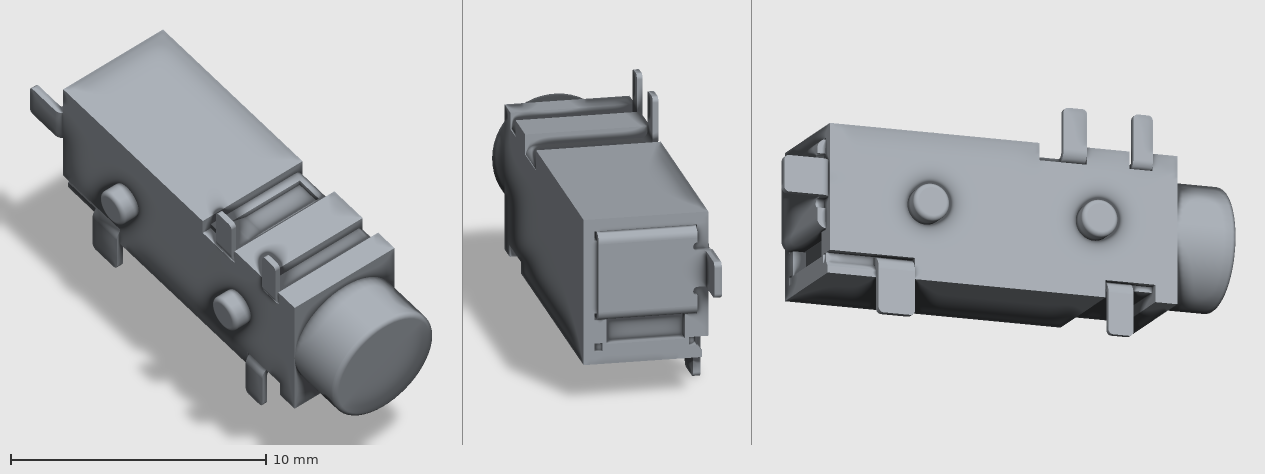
import cadquery as cq
import math

HOUSING_LENGTH = 14.55
HOUSING_DEPTH = 5.0
HOUSING_HEIGHT = 6.0
HALF_HEIGHT = HOUSING_HEIGHT / 2

BARREL_DIAMETER = 5.0
BARREL_LENGTH = 2.5
BARREL_EDGE_RADIUS = 0.2

PEG_DIAMETER = 1.5
PEG_LENGTH = 0.8
PEG_EDGE_RADIUS = 0.18
PEG_X = (4.0, 11.05)

THICK_SHEET = 0.3
THIN_SHEET = 0.23
TAB_FRONT_Y = -0.12
TAB_TIP_Z = 4.5
REAR_TOP_TAB_X = (9.74, 10.73)
FRONT_TOP_TAB_X = (12.66, 13.48)
REAR_BOTTOM_TAB_X = (2.0, 3.52)
FRONT_BOTTOM_TAB_X = (11.62, 12.67)
TIGHT_BEND_RADIUS = 0.35
MEDIUM_BEND_RADIUS = 0.5
WIDE_BEND_RADIUS = 0.55
TAB_CORNER_RADIUS = 0.2
ROOT_FLARE_RADIUS = 0.12

SLOT_FLOOR_Z = 2.53
SLOT_STEP_Z = SLOT_FLOOR_Z - THIN_SHEET
SLOT_STEP_DEPTH = 0.4
WIDE_SLOT_X = (8.77, 10.77)
WIDE_SLOT_REAR_RADIUS = 0.37
WIDE_SLOT_REAR_GAP = 0.03
NARROW_SLOT_X = (12.55, 13.52)
NARROW_SLOT_REAR_RADIUS = 0.21
NARROW_SLOT_REAR_GAP = 0.07
BOTTOM_SLOT_X = (11.55, 13.63)

WINDOW_X = (9.17, 10.37)
WINDOW_RAMP_START_Y = 1.09
WINDOW_RAMP_END_Y = 1.84
WINDOW_BACK_Y = 4.54
WINDOW_DEPTH = 0.25

NOTCH_LENGTH = 3.57
NOTCH_TOP_Z = -2.14
NOTCH_BOTTOM_Z = -2.49
NOTCH_DEPTH = 0.45
NOTCH_STRIP_Z = 2.17
LIP_Y = 0.25
LIP_TOP_Z = -2.72

RECESS_DEPTH = 0.53
RECESS_Y = (0.45, 4.56)
UPPER_GAP_Z = (2.1, 2.49)
LOWER_GAP_Z = (-1.2, -0.9)
REAR_WINDOW_Y = (0.93, 4.08)
REAR_WINDOW_Z = (-2.19, -1.17)
CLIP_CORNER_Y = (0.78, 4.24)
CLIP_CORNER_RADIUS = 0.32

PLATE_Y = (0.5, 4.47)
PLATE_Z = (-1.15, 2.46)
PLATE_BULGE = 0.34
PLATE_EDGE_RADIUS = 0.4
RELIEF_RADIUS = 0.18
REAR_TAB_Z = (0.03, 1.51)
REAR_TAB_TIP_X = -1.95
REAR_TAB_OUTER_RADIUS = 0.35
REAR_TAB_INNER_RADIUS = 0.1

EMBED = 0.2


def box(x_range, y_range, z_range):
    """Box spanning the three given ranges."""
    size = [high - low for low, high in (x_range, y_range, z_range)]
    corner = (x_range[0], y_range[0], z_range[0])
    return cq.Workplane("XY").box(*size, centered=False).translate(corner)


def side_sketch(x_start):
    """Sketch plane normal to X, with local axes along Y and Z."""
    return cq.Workplane("YZ", origin=(x_start, 0, 0))


def make_barrel():
    axis_start = (HOUSING_LENGTH, HOUSING_DEPTH / 2, 0)
    barrel = cq.Workplane("YZ", origin=axis_start).circle(BARREL_DIAMETER / 2).extrude(BARREL_LENGTH)
    return barrel.faces(">X").edges().fillet(BARREL_EDGE_RADIUS)


def make_peg(x):
    peg = cq.Workplane("XZ", origin=(x, 0, 0)).circle(PEG_DIAMETER / 2).extrude(PEG_LENGTH)
    return peg.faces("<Y").edges().fillet(PEG_EDGE_RADIUS)


def top_slot(x_range, rear_radius, rear_gap):
    """Cutter for a top slot: stepped down at the front, rounded over to a narrow ledge at the rear."""
    round_end_y = HOUSING_DEPTH - rear_gap
    round_start_y = round_end_y - rear_radius
    round_end_z = SLOT_FLOOR_Z - rear_radius
    diagonal = rear_radius * math.sqrt(0.5)
    round_middle = (round_start_y + diagonal, round_end_z + diagonal)
    return (
        side_sketch(x_range[0])
        .moveTo(0, HALF_HEIGHT)
        .lineTo(0, SLOT_STEP_Z)
        .lineTo(SLOT_STEP_DEPTH, SLOT_STEP_Z)
        .lineTo(SLOT_STEP_DEPTH, SLOT_FLOOR_Z)
        .lineTo(round_start_y, SLOT_FLOOR_Z)
        .threePointArc(round_middle, (round_end_y, round_end_z))
        .lineTo(HOUSING_DEPTH, round_end_z)
        .lineTo(HOUSING_DEPTH, HALF_HEIGHT)
        .close()
        .extrude(x_range[1] - x_range[0])
    )


def bottom_slot():
    through = box(BOTTOM_SLOT_X, (0, HOUSING_DEPTH), (-HALF_HEIGHT, -SLOT_FLOOR_Z))
    front_step = box(BOTTOM_SLOT_X, (0, SLOT_STEP_DEPTH), (-HALF_HEIGHT, -SLOT_STEP_Z))
    return through.union(front_step)


def tongue_window():
    """Cutter for the window whose floor ramps up towards the mounting face."""
    floor_z = SLOT_FLOOR_Z - WINDOW_DEPTH
    profile = [
        (WINDOW_RAMP_START_Y, SLOT_FLOOR_Z),
        (WINDOW_RAMP_END_Y, floor_z),
        (WINDOW_BACK_Y, floor_z),
        (WINDOW_BACK_Y, SLOT_FLOOR_Z),
    ]
    return side_sketch(WINDOW_X[0]).polyline(profile).close().extrude(WINDOW_X[1] - WINDOW_X[0])


def lower_notch():
    profile = [
        (0, NOTCH_TOP_Z),
        (NOTCH_DEPTH, NOTCH_TOP_Z),
        (NOTCH_DEPTH, NOTCH_BOTTOM_Z),
        (LIP_Y, LIP_TOP_Z),
        (LIP_Y, -HALF_HEIGHT),
        (0, -HALF_HEIGHT),
    ]
    return side_sketch(0).polyline(profile).close().extrude(NOTCH_LENGTH)


def clip_corner_cell(corner_y, side):
    """Small rear cell floored by a rounded clip corner facing -Y (side = -1) or +Y (side = 1)."""
    outer_y = corner_y + side * CLIP_CORNER_RADIUS
    y_range = sorted((corner_y, outer_y))
    cell = box((0, RECESS_DEPTH), y_range, (NOTCH_BOTTOM_Z, NOTCH_TOP_Z))
    corner = (
        cq.Workplane("XY", origin=(RECESS_DEPTH, corner_y, NOTCH_BOTTOM_Z))
        .circle(CLIP_CORNER_RADIUS)
        .extrude(NOTCH_TOP_Z - NOTCH_BOTTOM_Z)
    )
    return cell.cut(corner)


def rear_recesses():
    """Cutter for the rear window, the gaps around the plate bends and the clip corners."""
    depth = (0, RECESS_DEPTH)
    recesses = box(depth, REAR_WINDOW_Y, REAR_WINDOW_Z)
    for gap_z in (UPPER_GAP_Z, LOWER_GAP_Z):
        recesses = recesses.union(box(depth, RECESS_Y, gap_z))
    for corner_y, side in zip(CLIP_CORNER_Y, (-1, 1)):
        recesses = recesses.union(clip_corner_cell(corner_y, side))
    return recesses


def bent_tab(x_range, strip_z, bend_radius, thickness, side):
    """L-shaped tab bent up (side = 1) or down (side = -1) from a strip entering the housing.

    strip_z is the distance of the strip from mid-height.
    """
    strip_end_y = NOTCH_DEPTH + EMBED
    bend_y = TAB_FRONT_Y + bend_radius
    bend_z = strip_z + bend_radius
    inner_radius = bend_radius - thickness
    outer_offset = bend_radius * math.sqrt(0.5)
    inner_offset = inner_radius * math.sqrt(0.5)
    tab = (
        side_sketch(x_range[0])
        .moveTo(strip_end_y, side * strip_z)
        .lineTo(bend_y, side * strip_z)
        .threePointArc(
            (bend_y - outer_offset, side * (bend_z - outer_offset)),
            (TAB_FRONT_Y, side * bend_z),
        )
        .lineTo(TAB_FRONT_Y, side * TAB_TIP_Z)
        .lineTo(TAB_FRONT_Y + thickness, side * TAB_TIP_Z)
        .lineTo(TAB_FRONT_Y + thickness, side * bend_z)
        .threePointArc(
            (bend_y - inner_offset, side * (bend_z - inner_offset)),
            (bend_y, side * (strip_z + thickness)),
        )
        .lineTo(strip_end_y, side * (strip_z + thickness))
        .close()
        .extrude(x_range[1] - x_range[0])
    )
    tip = ">Z" if side > 0 else "<Z"
    return tab.faces(tip).edges("|Y").fillet(TAB_CORNER_RADIUS)


def make_rear_plate():
    """Contact plate bulging from the rear pocket, with reliefs beside its tab."""
    plate = box((-PLATE_BULGE, RECESS_DEPTH + EMBED), PLATE_Y, PLATE_Z)
    plate = plate.faces("<X").edges("|Y").fillet(PLATE_EDGE_RADIUS)
    relief_centres = [
        (PLATE_Y[0], REAR_TAB_Z[0] - RELIEF_RADIUS),
        (PLATE_Y[0], REAR_TAB_Z[1] + RELIEF_RADIUS),
    ]
    reliefs = (
        side_sketch(-PLATE_BULGE)
        .pushPoints(relief_centres)
        .circle(RELIEF_RADIUS)
        .extrude(PLATE_BULGE)
    )
    return plate.cut(reliefs)


def make_rear_tab():
    """Tab running down from the rear plate, then bent away from the housing."""
    back_y = TAB_FRONT_Y + THICK_SHEET
    low_z, high_z = REAR_TAB_Z
    profile = [
        (REAR_TAB_TIP_X, TAB_FRONT_Y),
        (0, TAB_FRONT_Y),
        (0, PLATE_Y[0] + EMBED),
        (-PLATE_BULGE, PLATE_Y[0] + EMBED),
        (-PLATE_BULGE, back_y),
        (REAR_TAB_TIP_X, back_y),
    ]
    tab = cq.Workplane("XY", origin=(0, 0, low_z)).polyline(profile).close().extrude(high_z - low_z)
    tab = tab.faces("<X").edges("|Y").fillet(TAB_CORNER_RADIUS)
    tab = tab.edges("|Z and >X and <Y").fillet(REAR_TAB_OUTER_RADIUS)
    inner_corner = cq.selectors.NearestToPointSelector((-PLATE_BULGE, back_y, (low_z + high_z) / 2))
    return tab.edges(inner_corner).fillet(REAR_TAB_INNER_RADIUS)


def root_flare(tab_edge_x, slot_edge_x):
    """Concave fillet between a top tab and the step behind it, kept inside the slot."""
    side = math.copysign(1, slot_edge_x - tab_edge_x)
    width = min(ROOT_FLARE_RADIUS, abs(slot_edge_x - tab_edge_x))
    x_range = sorted((tab_edge_x, tab_edge_x + side * width))
    front_y = SLOT_STEP_DEPTH - ROOT_FLARE_RADIUS
    flare = box(x_range, (front_y, SLOT_STEP_DEPTH), (SLOT_STEP_Z, SLOT_FLOOR_Z))
    hollow = (
        cq.Workplane("XY", origin=(tab_edge_x + side * ROOT_FLARE_RADIUS, front_y, SLOT_STEP_Z))
        .circle(ROOT_FLARE_RADIUS)
        .extrude(THIN_SHEET)
    )
    return flare.cut(hollow)


housing = box((0, HOUSING_LENGTH), (0, HOUSING_DEPTH), (-HALF_HEIGHT, HALF_HEIGHT))
cutters = [
    top_slot(WIDE_SLOT_X, WIDE_SLOT_REAR_RADIUS, WIDE_SLOT_REAR_GAP),
    top_slot(NARROW_SLOT_X, NARROW_SLOT_REAR_RADIUS, NARROW_SLOT_REAR_GAP),
    bottom_slot(),
    tongue_window(),
    lower_notch(),
    rear_recesses(),
]
for cutter in cutters:
    housing = housing.cut(cutter)

additions = [
    make_barrel(),
    make_rear_plate(),
    make_rear_tab(),
    bent_tab(REAR_TOP_TAB_X, SLOT_STEP_Z, MEDIUM_BEND_RADIUS, THIN_SHEET, 1),
    bent_tab(FRONT_TOP_TAB_X, SLOT_STEP_Z, TIGHT_BEND_RADIUS, THIN_SHEET, 1),
    bent_tab(REAR_BOTTOM_TAB_X, NOTCH_STRIP_Z, WIDE_BEND_RADIUS, THICK_SHEET, -1),
    bent_tab(FRONT_BOTTOM_TAB_X, SLOT_STEP_Z, MEDIUM_BEND_RADIUS, THIN_SHEET, -1),
]
for tab_x, slot_x in ((REAR_TOP_TAB_X, WIDE_SLOT_X), (FRONT_TOP_TAB_X, NARROW_SLOT_X)):
    additions += [root_flare(tab_edge, slot_edge) for tab_edge, slot_edge in zip(tab_x, slot_x)]
additions += [make_peg(x) for x in PEG_X]
for addition in additions:
    housing = housing.union(addition)

result = housing